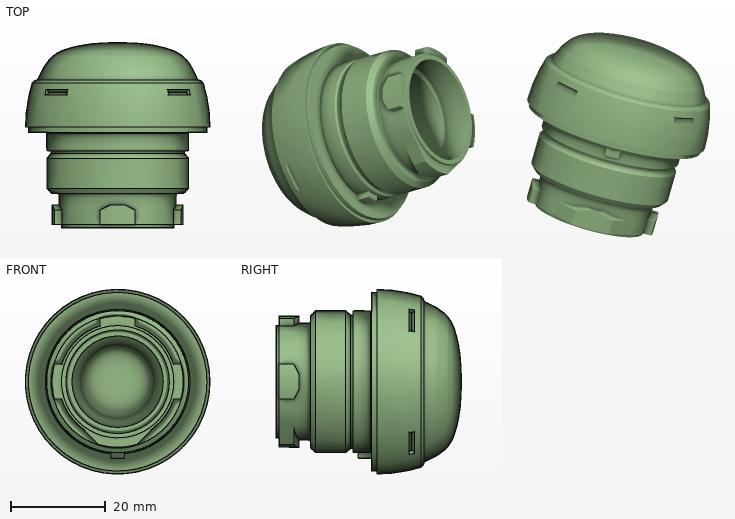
import cadquery as cq
import math


GASKET_RADIUS = 18.85
GASKET_THICKNESS = 1.1
HEAD_RADIUS = 19.5
HEAD_SIDE_CURVE_RADIUS = 31.0
HEAD_SIDE_TOP_Y = 10.4
HEAD_SHOULDER_MID = (17.6, 10.85)
HEAD_SHOULDER_RADIUS = 16.95
HEAD_SHOULDER_Y = 11.1

DOME_CONE_TOP = (15.65, 13.75)
DOME_KNUCKLE_MID = (14.76, 15.04)
DOME_KNUCKLE_END = (13.66, 16.15)
DOME_KNUCKLE_END_SLOPE = 140.0
DOME_CROWN_POINT = (9.8, 17.9)
DOME_TOP_Y = 18.95

GAP_OUTER_RADIUS = 15.28
GAP_INNER_RADIUS = 14.8
GAP_DEPTH = 0.5

NECK_RADIUS = 15.0
NECK_TOP_Y = -0.25
NECK_BOTTOM_Y = -3.95
NECK_EDGE_ROUND = 0.4
GROOVE_RADIUS = 14.1
GROOVE_BOTTOM_Y = -4.45

COLLAR_TOP_Y = -5.5
COLLAR_CHAMFER_TOP_Y = -11.8
COLLAR_BOTTOM_Y = -12.9
COLLAR_CHAMFER = 1.05

NOZZLE_RADIUS = 12.36
NOZZLE_FILLET = 0.4
NOZZLE_BOTTOM_Y = -19.5
RIM_RADIUS = 11.85
RIM_BOTTOM_Y = -20.15

MOUTH_RADIUS = 10.93
MOUTH_DEPTH = 6.05
BORE_RADIUS = 9.64
BORE_END_Y = 0.0
STEP_RADIUS = 7.75
FLOOR_RADIUS = 6.3
STEP_LEDGE_RADIUS = 9.5

LUG_RADIUS = 13.85
LUG_HALF_WIDTH = 3.7
LUG_TAPER_START_Y = -16.4
LUG_END_Y = -15.3
LUG_SIDE_TAPER = 2.15
LUG_ROOT_RADIUS = 0.5 * (MOUTH_RADIUS + RIM_RADIUS)
LUG_SIDE_ANGLE = 90.0
WIDE_LUG_SIDE_ANGLE = 45.0
WIDE_LUG_SIDE_DISTANCE = 12.27
WIDE_LUG_ROOT_DISTANCE = 9.4

KEY_WIDTH = 2.9
KEY_BOTTOM_Z = -16.2
KEY_LENGTH = 2.9
KEY_ROUND = 0.45

SLOT_LENGTH = 6.4
SLOT_BOTTOM_Y = 7.85
SLOT_TOP_Y = 9.1
SLOT_APEX_Y = 8.45
SLOT_WALL_DISTANCE = 17.9
SLOT_APEX_DISTANCE = 17.2
SLOT_COUNT = 4
SLOT_FIRST_ANGLE = 45.0


def revolve_about_axis(outline):
    """Turn a half outline drawn as (radius, Y) about the Y axis."""
    return outline.close().revolve(360, (0, 0), (0, 1))


def head_side_radius(y):
    """Radius of the bulged head side, which starts vertical at the gasket."""
    rise = y - GASKET_THICKNESS
    return HEAD_RADIUS - HEAD_SIDE_CURVE_RADIUS + math.sqrt(HEAD_SIDE_CURVE_RADIUS**2 - rise**2)


def point_on_circle(center, radius, angle):
    """Point on a circle at an angle in degrees."""
    turn = math.radians(angle)
    return (center[0] + radius * math.cos(turn), center[1] + radius * math.sin(turn))


def make_turned_body():
    head_mid_y = 0.5 * (GASKET_THICKNESS + HEAD_SIDE_TOP_Y)
    neck_round_center = (NECK_RADIUS - NECK_EDGE_ROUND, NECK_BOTTOM_Y + NECK_EDGE_ROUND)
    nozzle_round_center = (NOZZLE_RADIUS + NOZZLE_FILLET, COLLAR_BOTTOM_Y - NOZZLE_FILLET)
    crown_points = [DOME_CROWN_POINT, (0, DOME_TOP_Y)]
    crown_tangents = [point_on_circle((0, 0), 1, DOME_KNUCKLE_END_SLOPE), (-1, 0)]
    outline = (
        cq.Workplane("XY")
        .moveTo(0, RIM_BOTTOM_Y)
        .lineTo(RIM_RADIUS, RIM_BOTTOM_Y)
        .lineTo(RIM_RADIUS, NOZZLE_BOTTOM_Y)
        .lineTo(NOZZLE_RADIUS, NOZZLE_BOTTOM_Y)
        .lineTo(NOZZLE_RADIUS, nozzle_round_center[1])
        .threePointArc(
            point_on_circle(nozzle_round_center, NOZZLE_FILLET, 135),
            (nozzle_round_center[0], COLLAR_BOTTOM_Y),
        )
        .lineTo(NECK_RADIUS - COLLAR_CHAMFER, COLLAR_BOTTOM_Y)
        .lineTo(NECK_RADIUS, COLLAR_CHAMFER_TOP_Y)
        .lineTo(NECK_RADIUS, COLLAR_TOP_Y)
        .lineTo(GROOVE_RADIUS, GROOVE_BOTTOM_Y)
        .lineTo(GROOVE_RADIUS, NECK_BOTTOM_Y)
        .lineTo(neck_round_center[0], NECK_BOTTOM_Y)
        .threePointArc(
            point_on_circle(neck_round_center, NECK_EDGE_ROUND, -45),
            (NECK_RADIUS, neck_round_center[1]),
        )
        .lineTo(NECK_RADIUS, NECK_TOP_Y)
        .lineTo(GAP_INNER_RADIUS, NECK_TOP_Y)
        .lineTo(GAP_INNER_RADIUS, GAP_DEPTH)
        .lineTo(GAP_OUTER_RADIUS, GAP_DEPTH)
        .lineTo(GAP_OUTER_RADIUS, 0)
        .lineTo(GASKET_RADIUS, 0)
        .lineTo(GASKET_RADIUS, GASKET_THICKNESS)
        .lineTo(HEAD_RADIUS, GASKET_THICKNESS)
        .threePointArc(
            (head_side_radius(head_mid_y), head_mid_y),
            (head_side_radius(HEAD_SIDE_TOP_Y), HEAD_SIDE_TOP_Y),
        )
        .threePointArc(HEAD_SHOULDER_MID, (HEAD_SHOULDER_RADIUS, HEAD_SHOULDER_Y))
        .lineTo(*DOME_CONE_TOP)
        .threePointArc(DOME_KNUCKLE_MID, DOME_KNUCKLE_END)
        .spline(crown_points, tangents=crown_tangents, includeCurrent=True)
    )
    return revolve_about_axis(outline)


def make_cavity():
    mouth_end_y = RIM_BOTTOM_Y + MOUTH_DEPTH
    lip_round = STEP_LEDGE_RADIUS - STEP_RADIUS
    floor_round = STEP_RADIUS - FLOOR_RADIUS
    lip_center = (STEP_LEDGE_RADIUS, BORE_END_Y + lip_round)
    floor_center = (FLOOR_RADIUS, lip_center[1])
    floor_y = lip_center[1] + floor_round
    outline = (
        cq.Workplane("XY")
        .moveTo(0, RIM_BOTTOM_Y)
        .lineTo(MOUTH_RADIUS, RIM_BOTTOM_Y)
        .lineTo(MOUTH_RADIUS, mouth_end_y)
        .lineTo(BORE_RADIUS, mouth_end_y)
        .lineTo(BORE_RADIUS, BORE_END_Y)
        .lineTo(STEP_LEDGE_RADIUS, BORE_END_Y)
        .threePointArc(point_on_circle(lip_center, lip_round, -135), (STEP_RADIUS, lip_center[1]))
        .threePointArc(point_on_circle(floor_center, floor_round, 45), (FLOOR_RADIUS, floor_y))
        .lineTo(0, floor_y)
    )
    return revolve_about_axis(outline)


def turn_about_axis(shape, angle):
    return shape.rotate((0, 0, 0), (0, 1, 0), angle)


def make_lug(side_angle, side_distance, root_distance=0.0):
    """Lug on the +Z side: a ring sector whose two sides close in towards the head.

    side_angle is measured from +Z to each side's normal, side_distance from the axis.
    The lug exists only beyond root_distance from the axis along Z.
    """
    lug = (
        cq.Workplane("ZX", origin=(0, NOZZLE_BOTTOM_Y, 0))
        .circle(LUG_RADIUS)
        .circle(LUG_ROOT_RADIUS)
        .extrude(LUG_END_Y - NOZZLE_BOTTOM_Y)
    )
    radial_limit = cq.Workplane("XY").box(
        2 * HEAD_RADIUS, 2 * HEAD_RADIUS, HEAD_RADIUS, centered=(True, True, False)
    )
    lug = lug.intersect(radial_limit.translate((0, NOZZLE_BOTTOM_Y, root_distance)))
    side = (
        cq.Workplane("XY", origin=(0, 0, -HEAD_RADIUS))
        .moveTo(-HEAD_RADIUS, NOZZLE_BOTTOM_Y)
        .lineTo(side_distance, NOZZLE_BOTTOM_Y)
        .lineTo(side_distance, LUG_TAPER_START_Y)
        .lineTo(side_distance - LUG_SIDE_TAPER, LUG_END_Y)
        .lineTo(-HEAD_RADIUS, LUG_END_Y)
        .close()
        .extrude(2 * HEAD_RADIUS)
    )
    for normal_angle in (side_angle, -side_angle):
        lug = lug.intersect(turn_about_axis(side, normal_angle - 90))
    return lug


def add_lugs(body):
    lug = make_lug(LUG_SIDE_ANGLE, LUG_HALF_WIDTH)
    for angle in (-90, 0, 90):
        body = body.union(turn_about_axis(lug, angle))
    wide_lug = make_lug(WIDE_LUG_SIDE_ANGLE, WIDE_LUG_SIDE_DISTANCE, WIDE_LUG_ROOT_DISTANCE)
    return body.union(turn_about_axis(wide_lug, 180))


def make_key():
    height = -KEY_BOTTOM_Z - GROOVE_RADIUS
    return (
        cq.Workplane("XY")
        .box(KEY_WIDTH, KEY_LENGTH, height, centered=(True, False, False))
        .edges("<Y and <Z")
        .fillet(KEY_ROUND)
        .translate((0, -KEY_LENGTH, KEY_BOTTOM_Z))
    )


def cut_grip_slots(body):
    slot = (
        cq.Workplane("YZ")
        .moveTo(SLOT_BOTTOM_Y, HEAD_RADIUS)
        .lineTo(SLOT_BOTTOM_Y, SLOT_WALL_DISTANCE)
        .lineTo(SLOT_APEX_Y, SLOT_APEX_DISTANCE)
        .lineTo(SLOT_TOP_Y, SLOT_WALL_DISTANCE)
        .lineTo(SLOT_TOP_Y, HEAD_RADIUS)
        .close()
        .extrude(0.5 * SLOT_LENGTH, both=True)
    )
    for index in range(SLOT_COUNT):
        angle = SLOT_FIRST_ANGLE + index * 360.0 / SLOT_COUNT
        body = body.cut(turn_about_axis(slot, angle))
    return body


body = make_turned_body().cut(make_cavity())
body = add_lugs(body)
body = body.union(make_key())
result = cut_grip_slots(body)